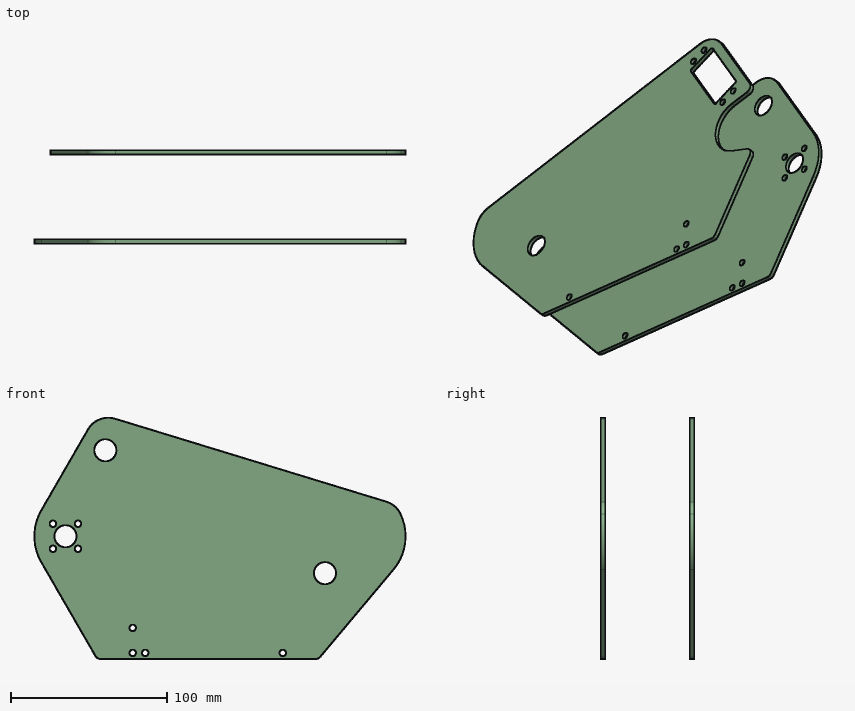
import cadquery as cq
import math


plate_thickness = 3.0
overall_depth = 60.0

overall_length = 237.63
overall_height = 154.5
motor_height = 78.6
motor_to_nose = 20.0
end_radius = 33.0
top_corner_radius = 15.0
bottom_corner_radius = 4.0
side_angle = math.radians(60)
top_slope = math.radians(17)
right_angle = math.radians(50)

large_hole_diameter = 14.0
screw_hole_diameter = 4.0
axle_hole = (166.0, 55.0)
base_row_height = 4.0
base_screws = [(43.0, base_row_height), (51.0, base_row_height), (139.0, base_row_height)]
upper_base_screw = (43.0, 20.0)

motor_screw_offset = 8.0
upper_hole = (25.5, 133.6)

servo_center = (20.8, 124.5)
servo_slot_length = 40.0
servo_slot_width = 20.5
servo_slot_corner_radius = 1.0
servo_screw_pitch_long = 48.0
servo_screw_pitch_short = 10.0
relief_radius = 19.0
relief_flare = math.radians(16.5)
relief_tip_radius = 4.0
relief_reach = 40.0

left_arc_x = end_radius - motor_to_nose
right_arc_x = overall_length - motor_to_nose - end_radius
left_vertex = (left_arc_x - end_radius / math.sin(side_angle), motor_height)
bottom_left = (left_vertex[0] + motor_height / math.tan(side_angle), 0.0)

top_arc_z = overall_height - top_corner_radius
top_arc_x = (
    left_vertex[0]
    + (top_arc_z - motor_height) / math.tan(side_angle)
    + top_corner_radius / math.sin(side_angle)
)

top_edge_start = top_arc_z + top_corner_radius / math.cos(top_slope) + top_arc_x * math.tan(top_slope)
left_edge_start = motor_height - left_vertex[0] * math.tan(side_angle)
top_left_x = (top_edge_start - left_edge_start) / (math.tan(side_angle) + math.tan(top_slope))
top_left = (top_left_x, left_edge_start + top_left_x * math.tan(side_angle))


def on_right_arc(angle):
    return (right_arc_x + end_radius * math.cos(angle), motor_height + end_radius * math.sin(angle))


top_edge_distance = (top_edge_start - right_arc_x * math.tan(top_slope) - motor_height) * math.cos(top_slope)
top_right_angle = math.pi / 2 - top_slope - math.acos(top_edge_distance / end_radius)
lower_right_angle = right_angle - math.pi / 2
top_right = on_right_arc(top_right_angle)
right_middle = on_right_arc((top_right_angle + lower_right_angle) / 2)
lower_right = on_right_arc(lower_right_angle)
bottom_right = (lower_right[0] - lower_right[1] / math.tan(right_angle), 0.0)


def plane_at(front_y):
    """XZ plane at a plate's front face; positive extrusion runs towards -Y."""
    return cq.Workplane("XZ", origin=(0, front_y, 0))


def round_corner(plate, front_y, corner, radius):
    """Round the through-thickness edge that stands at an outline corner."""
    edge_middle = (corner[0], front_y + plate_thickness / 2, corner[1])
    return plate.edges("|Y").edges(cq.selectors.NearestToPointSelector(edge_middle)).fillet(radius)


def drill(plate, front_y, points, diameter):
    holes = plane_at(front_y).pushPoints(points).circle(diameter / 2).extrude(-plate_thickness)
    return plate.cut(holes)


def make_blank(front_y):
    """Outline with the axle hole and base screw holes that both plates share."""
    blank = (
        plane_at(front_y)
        .moveTo(*bottom_left)
        .lineTo(*bottom_right)
        .lineTo(*lower_right)
        .threePointArc(right_middle, top_right)
        .lineTo(*top_left)
        .lineTo(*left_vertex)
        .close()
        .extrude(-plate_thickness)
    )
    corner_radii = [
        (left_vertex, end_radius),
        (top_left, top_corner_radius),
        (top_right, top_corner_radius),
        (bottom_left, bottom_corner_radius),
        (bottom_right, bottom_corner_radius),
    ]
    for corner, radius in corner_radii:
        blank = round_corner(blank, front_y, corner, radius)
    blank = drill(blank, front_y, [axle_hole], large_hole_diameter)
    return drill(blank, front_y, base_screws + [upper_base_screw], screw_hole_diameter)


def make_motor_plate(front_y):
    plate = make_blank(front_y)
    plate = drill(plate, front_y, [(0.0, motor_height), upper_hole], large_hole_diameter)
    motor_screws = [
        (side_x * motor_screw_offset, motor_height + side_z * motor_screw_offset)
        for side_x in (-1, 1)
        for side_z in (-1, 1)
    ]
    return drill(plate, front_y, motor_screws, screw_hole_diameter)


def cut_motor_relief(plate, front_y):
    """Round clearance about the motor axis, flaring out through the left edge."""
    tangent_x = relief_radius * math.sin(relief_flare)
    tangent_z = relief_radius * math.cos(relief_flare)
    mouth_z = tangent_z + (tangent_x + relief_reach) * math.tan(relief_flare)
    relief = (
        plane_at(front_y)
        .moveTo(-relief_reach, motor_height - mouth_z)
        .lineTo(tangent_x, motor_height - tangent_z)
        .threePointArc((relief_radius, motor_height), (tangent_x, motor_height + tangent_z))
        .lineTo(-relief_reach, motor_height + mouth_z)
        .close()
        .extrude(-plate_thickness)
    )
    plate = plate.cut(relief)

    tip_x = (
        (tangent_z + tangent_x * math.tan(relief_flare) + left_vertex[0] * math.tan(side_angle))
        / (math.tan(side_angle) + math.tan(relief_flare))
    )
    tip_z = (tip_x - left_vertex[0]) * math.tan(side_angle)
    for side in (-1, 1):
        plate = round_corner(plate, front_y, (tip_x, motor_height + side * tip_z), relief_tip_radius)
    return plate


def cut_servo_mount(plate, front_y):
    """Rectangular servo slot parallel to the upper left edge, with two screws at each end."""
    mount = plane_at(front_y).center(*servo_center).transformed(rotate=(0, 0, math.degrees(side_angle)))
    slot = (
        mount.rect(servo_slot_length, servo_slot_width)
        .extrude(-plate_thickness)
        .edges("|Y")
        .fillet(servo_slot_corner_radius)
    )
    screws = (
        mount.rect(servo_screw_pitch_long, servo_screw_pitch_short, forConstruction=True)
        .vertices()
        .circle(screw_hole_diameter / 2)
        .extrude(-plate_thickness)
    )
    return plate.cut(slot).cut(screws)


def make_servo_plate(front_y):
    plate = make_blank(front_y)
    plate = cut_motor_relief(plate, front_y)
    return cut_servo_mount(plate, front_y)


motor_plate = make_motor_plate(0.0)
servo_plate = make_servo_plate(overall_depth - plate_thickness)

result = cq.Compound.makeCompound([motor_plate.val(), servo_plate.val()])